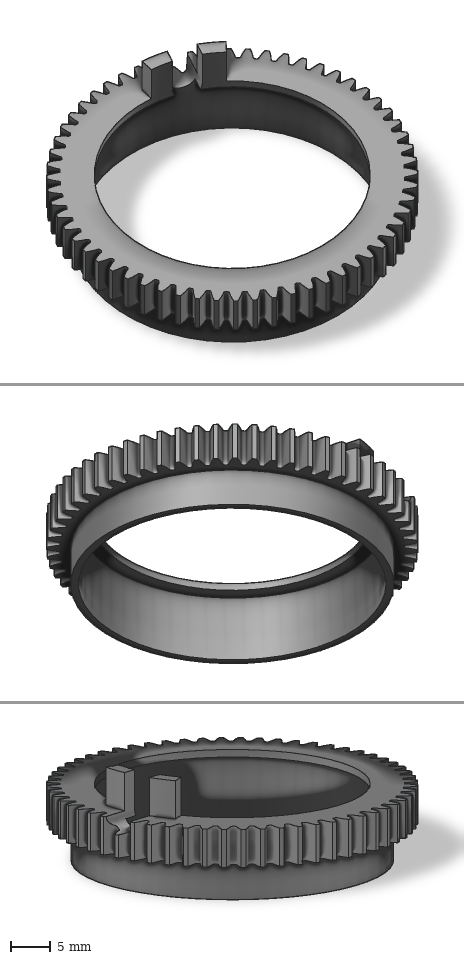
import cadquery as cq
import math

outer_diameter = 47.1
tooth_count = 60
addendum_factor = 1.0
dedendum_factor = 1.25
pressure_angle = math.radians(20)
root_fillet = 0.3
flank_point_count = 5

level_height = 5.0
gear_bottom = level_height
gear_top = gear_bottom + level_height

collar_diameter = 41.0
bore_diameter = 39.0
lip_diameter = 35.0
lip_thickness = 1.0

groove_diameter = 4.0
post_end_angle = 16.8

module = outer_diameter / (tooth_count + 2 * addendum_factor)
tip_radius = outer_diameter / 2
pitch_radius = module * tooth_count / 2
root_radius = pitch_radius - dedendum_factor * module
base_radius = pitch_radius * math.cos(pressure_angle)

fillet_centre_radius = root_radius + root_fillet
fillet_normal = math.sqrt(fillet_centre_radius**2 - base_radius**2)
flank_start_radius = math.hypot(base_radius, fillet_normal - root_fillet)
tooth_pitch_angle = 2 * math.pi / tooth_count


def polar(radius, angle):
    return (radius * math.cos(angle), radius * math.sin(angle))


def involute(angle):
    return math.tan(angle) - angle


def half_tooth_angle(radius):
    """Angle from the tooth centre line to its involute flank at a radius."""
    flank_angle = math.acos(base_radius / radius)
    return tooth_pitch_angle / 4 + involute(pressure_angle) - involute(flank_angle)


def fillet_arc(tooth_centre, side):
    """Flank end, middle and root end of a root fillet; side is +1 or -1."""
    centre_offset = half_tooth_angle(fillet_centre_radius) + root_fillet / base_radius
    centre_angle = tooth_centre + side * centre_offset
    centre = cq.Vector(*polar(fillet_centre_radius, centre_angle))
    flank_angle = tooth_centre + side * half_tooth_angle(flank_start_radius)
    flank_end = cq.Vector(*polar(flank_start_radius, flank_angle))
    root_end = cq.Vector(*polar(root_radius, centre_angle))
    bisector = (flank_end + root_end - centre * 2).normalized()
    return flank_end, centre + bisector * root_fillet, root_end


def gear_disc():
    """Solid toothed disc with a tooth centred on the +X axis."""
    radius_step = (tip_radius - flank_start_radius) / (flank_point_count - 1)
    flank_radii = [flank_start_radius + i * radius_step for i in range(flank_point_count)]

    first_point, _, _ = fillet_arc(0, -1)
    outline = cq.Workplane("XY").moveTo(first_point.x, first_point.y)
    for tooth in range(tooth_count):
        centre = tooth * tooth_pitch_angle
        next_centre = centre + tooth_pitch_angle
        rising = [polar(r, centre - half_tooth_angle(r)) for r in flank_radii]
        falling = [polar(r, centre + half_tooth_angle(r)) for r in reversed(flank_radii)]
        _, near_middle, near_root = fillet_arc(centre, 1)
        far_flank, far_middle, far_root = fillet_arc(next_centre, -1)
        gap_middle = polar(root_radius, centre + tooth_pitch_angle / 2)
        outline = (
            outline.spline(rising[1:], includeCurrent=True)
            .threePointArc(polar(tip_radius, centre), falling[0])
            .spline(falling[1:], includeCurrent=True)
            .threePointArc(near_middle, near_root)
            .threePointArc(gap_middle, far_root)
            .threePointArc(far_middle, far_flank)
        )
    return outline.close().extrude(level_height)


def toothed_ring():
    """Gear and lower collar, bored out to leave a thin lip at the top."""
    collar = cq.Workplane("XY").circle(collar_diameter / 2).extrude(gear_bottom)
    gear = gear_disc().translate((0, 0, gear_bottom))
    bore = cq.Workplane("XY").circle(bore_diameter / 2).extrude(gear_top - lip_thickness)
    lip_opening = cq.Workplane("XY").circle(lip_diameter / 2).extrude(gear_top)
    return collar.union(gear).cut(bore).cut(lip_opening)


def groove():
    """Round-bottomed radial groove, with its axis on the top of the gear."""
    return (
        cq.Workplane("YZ")
        .center(0, gear_top)
        .circle(groove_diameter / 2)
        .extrude(-outer_diameter / 2)
    )


def posts():
    """Two arc-shaped posts on the lip, one on each side of the groove."""
    sector_length = outer_diameter / 2
    sector_half_width = sector_length * math.tan(math.radians(post_end_angle))
    sector = (
        cq.Workplane("XY", origin=(0, 0, gear_top))
        .polyline([(0, 0), (-sector_length, sector_half_width), (-sector_length, -sector_half_width)])
        .close()
        .extrude(level_height)
    )
    lip_ring = (
        cq.Workplane("XY", origin=(0, 0, gear_top))
        .circle(bore_diameter / 2)
        .circle(lip_diameter / 2)
        .extrude(level_height)
    )
    gap = (
        cq.Workplane("XY", origin=(0, 0, gear_top))
        .rect(outer_diameter, groove_diameter)
        .extrude(level_height)
    )
    return lip_ring.intersect(sector).cut(gap)


result = toothed_ring().cut(groove()).union(posts())